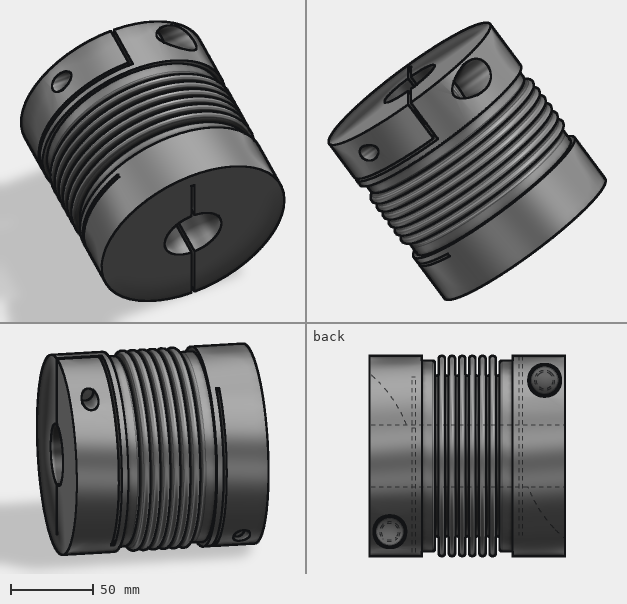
import cadquery as cq

LENGTH = 119.0
OUTER_RADIUS = 61.0
BORE_RADIUS = 18.9
MIDDLE = LENGTH / 2

HUB_LENGTH = 32.0
RING_END = 39.9
RING_RADIUS = 58.1
RING_ROUND = 1.6

CREST_COUNT = 6
CREST_WIDTH = 4.0
ROOT_RADIUS = 48.7
BELLOWS_LENGTH = LENGTH - 2 * RING_END
ROOT_WIDTH = (BELLOWS_LENGTH - CREST_COUNT * CREST_WIDTH) / (CREST_COUNT + 1)

BLADE_RADIUS = 78.1
CUT_WIDTH = 2.0
CUT_END_X = 27.9
AXIAL_BLADE_Z = 9.5
CROSS_BLADE_Z = 19.5

SCREW_X = 12.5
SCREW_Z = 46.0
SCREW_RADIUS = 6.1
SCREW_END_Y = -24.4
TAP_RADIUS = 5.1
COUNTERBORE_RADIUS = 10.0
SEAT_Y = 15.6
HEAD_RADIUS = 9.0
HEAD_TOP_Y = 27.1
HEAD_ROUND = 1.0


def blade_cut(start_plane):
    """Slot of a blade centred on the plane's origin, open toward +Z above the blade centre."""
    plunge = start_plane.circle(BLADE_RADIUS).extrude(CUT_WIDTH)
    exit_path = (
        start_plane.center(0, OUTER_RADIUS)
        .rect(2 * BLADE_RADIUS, 2 * OUTER_RADIUS)
        .extrude(CUT_WIDTH)
    )
    return plunge.union(exit_path)


def make_saw_cuts():
    """Axial cut that splits the hub, and cross cut that frees its -Y half as a clamping jaw."""
    half_width = CUT_WIDTH / 2
    axial_origin = (CUT_END_X - BLADE_RADIUS, half_width, AXIAL_BLADE_Z)
    cross_origin = (CUT_END_X - CUT_WIDTH, half_width - BLADE_RADIUS, CROSS_BLADE_Z)
    axial_cut = blade_cut(cq.Workplane("XZ", origin=axial_origin))
    cross_cut = blade_cut(cq.Workplane("YZ", origin=cross_origin))
    return axial_cut.union(cross_cut)


def screw_axis_cylinder(radius, start_y, end_y):
    """Cylinder on the screw axis from start_y up to end_y."""
    end_plane = cq.Workplane("XZ", origin=(SCREW_X, end_y, SCREW_Z))
    return end_plane.circle(radius).extrude(end_y - start_y)


def make_screw_hole():
    tapped_hole = screw_axis_cylinder(TAP_RADIUS, -OUTER_RADIUS, SEAT_Y)
    counterbore = screw_axis_cylinder(COUNTERBORE_RADIUS, SEAT_Y, OUTER_RADIUS)
    return tapped_hole.union(counterbore)


def make_screw():
    head = screw_axis_cylinder(HEAD_RADIUS, SEAT_Y, HEAD_TOP_Y)
    head = head.faces(">Y").edges().fillet(HEAD_ROUND)
    shank = screw_axis_cylinder(SCREW_RADIUS, SCREW_END_Y, SEAT_Y)
    return shank.union(head)


def make_left_hub():
    """Hub with ring, bore, saw cuts and the clamping screw that bridges the axial cut."""
    hub = cq.Workplane("YZ").circle(OUTER_RADIUS).extrude(HUB_LENGTH)
    ring = cq.Workplane("YZ").circle(RING_RADIUS).extrude(RING_END)
    ring = ring.faces(">X").edges().fillet(RING_ROUND)
    bore = cq.Workplane("YZ").circle(BORE_RADIUS).extrude(RING_END)
    hub = hub.union(ring).cut(bore)
    hub = hub.cut(make_saw_cuts()).cut(make_screw_hole())
    return hub.union(make_screw())


def make_bellows():
    """Revolve the wavy wall between the two rings around X."""
    root_arc_end = ROOT_RADIUS + ROOT_WIDTH / 2
    crest_arc_end = OUTER_RADIUS - CREST_WIDTH / 2
    x = RING_END
    profile = cq.Workplane("XY").moveTo(x, BORE_RADIUS).lineTo(x, root_arc_end)
    for _ in range(CREST_COUNT):
        crest_start = x + ROOT_WIDTH
        crest_middle = crest_start + CREST_WIDTH / 2
        crest_end = crest_start + CREST_WIDTH
        profile = (
            profile.threePointArc((x + ROOT_WIDTH / 2, ROOT_RADIUS), (crest_start, root_arc_end))
            .lineTo(crest_start, crest_arc_end)
            .threePointArc((crest_middle, OUTER_RADIUS), (crest_end, crest_arc_end))
            .lineTo(crest_end, root_arc_end)
        )
        x = crest_end
    far_ring = LENGTH - RING_END
    profile = (
        profile.threePointArc((x + ROOT_WIDTH / 2, ROOT_RADIUS), (far_ring, root_arc_end))
        .lineTo(far_ring, BORE_RADIUS)
        .close()
    )
    return profile.revolve(360, (0, 0, 0), (1, 0, 0))


left_hub = make_left_hub()
right_hub = left_hub.rotate((MIDDLE, 0, 0), (MIDDLE, 1, 0), 180)

result = make_bellows().union(left_hub).union(right_hub)